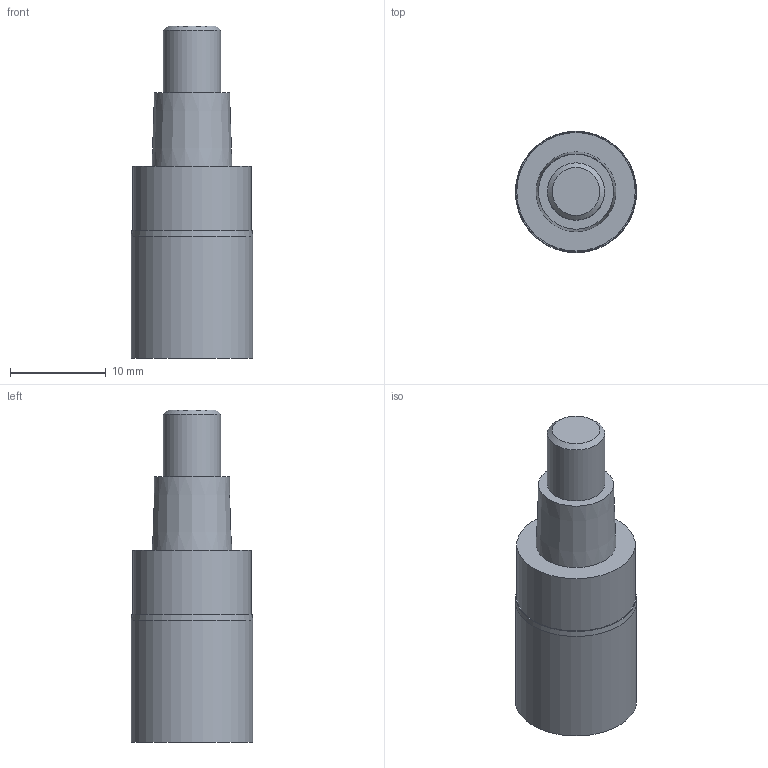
import cadquery as cq

total_height = 34.74

base_radius = 12.7 / 2
base_height = 13.35
rim_height = 0.6
rim_top_radius = 6.3

shoulder_radius = 6.2
shoulder_height = 6.7
neck_bottom_radius = 4.18
neck_top_radius = 3.93
neck_height = 7.7
tip_radius = 3.0
tip_chamfer_width = 0.5
tip_chamfer_height = 0.45

shoulder_top = base_height + shoulder_height
neck_top = shoulder_top + neck_height


def revolve_about_z(outline):
    """Revolve a closed (radius, height) outline around the Z axis."""
    return cq.Workplane("XZ").polyline(outline).close().revolve(360, (0, 0, 0), (0, 1, 0))


def make_base():
    """Solid cylinder with a slightly tapered rim at the top."""
    return revolve_about_z([
        (0, 0),
        (base_radius, 0),
        (base_radius, base_height - rim_height),
        (rim_top_radius, base_height),
        (0, base_height),
    ])


def make_stem():
    """Shoulder, tapered neck and chamfered tip, standing on top of the base."""
    return revolve_about_z([
        (0, base_height),
        (shoulder_radius, base_height),
        (shoulder_radius, shoulder_top),
        (neck_bottom_radius, shoulder_top),
        (neck_top_radius, neck_top),
        (tip_radius, neck_top),
        (tip_radius, total_height - tip_chamfer_height),
        (tip_radius - tip_chamfer_width, total_height),
        (0, total_height),
    ])


base = make_base()
stem = make_stem()

result = cq.Compound.makeCompound([base.val(), stem.val()])